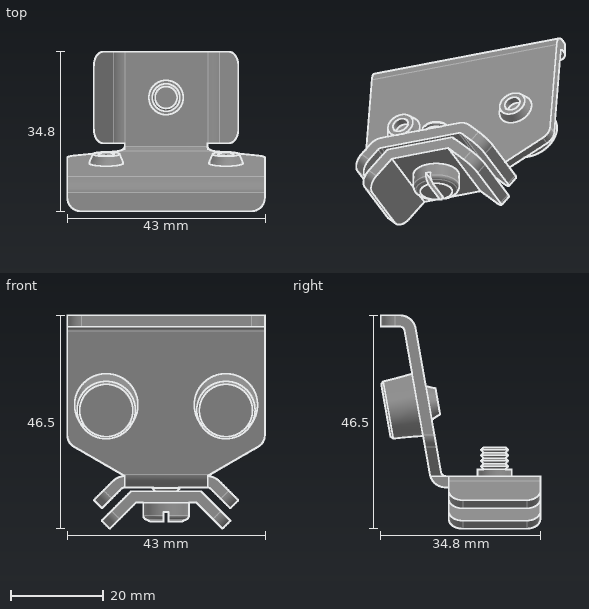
import cadquery as cq
import math

sheet = 2.5
bend_inner = 1.0
bend_outer = bend_inner + sheet
corner_radius = 3.0
wing_angle = 45.0
saddle_length = 20.0

overall_height = 46.45
bracket_width = 43.0
bracket_top = 35.0
saddle_half_width = 9.0
bracket_wing_drop = 5.25
lean_angle = 10.0
bend_corner_y = -11.48
flange_end_y = -24.75
shoulder_angle = 30.0
collar_diameter = 7.5
collar_height = 1.45

clamp_gap = 0.75
clamp_half_width = 7.55
clamp_top = -sheet - clamp_gap
clamp_underside = clamp_top - sheet

thread_diameter = 6.0
thread_root = 4.8
thread_turns = 10
neck_length = 0.1
screw_tip_z = 6.25
head_diameter = 10.0
head_height = 4.15
head_rounding = 0.95
head_face_diameter = 6.95
head_cone_height = 0.75
slot_width = 1.0
slot_depth = 2.05

buffer_spacing = 26.0
buffer_z = 15.45
buffer_base_diameter = 13.8
buffer_tip_diameter = 12.7
buffer_height = 7.0
buffer_chamfer = 0.55
plug_diameter = 7.5
plug_tip_diameter = 5.8
plug_height = 2.0
plug_hole_diameter = 3.5
plug_hole_depth = 2.0

lean = math.radians(lean_angle)
lean_tan = math.tan(lean)
wing = math.radians(wing_angle)


def rounded_outline(plane, corners):
    """Closed outline through (u, v, radius) corners; a zero radius keeps a corner sharp."""
    points = [cq.Vector(u, v) for u, v, _ in corners]
    outline = cq.Workplane(plane)
    for i, (_, _, radius) in enumerate(corners):
        corner = points[i]
        back = (points[i - 1] - corner).normalized()
        ahead = (points[(i + 1) % len(points)] - corner).normalized()
        half_angle = back.getAngle(ahead) / 2
        reach = radius / math.tan(half_angle)
        start = (corner + back * reach).toTuple()[:2]
        outline = outline.moveTo(*start) if i == 0 else outline.lineTo(*start)
        if radius > 0:
            middle = corner + (back + ahead).normalized() * (radius / math.sin(half_angle) - radius)
            end = corner + ahead * reach
            outline = outline.threePointArc(middle.toTuple()[:2], end.toTuple()[:2])
    return outline.close()


def winged_plate(top_z, corner_x, wing_drop, inner_radius, outer_radius):
    """Flat plate along Y whose two sides bend down; corner_x is the sharp top corner."""
    under_x = corner_x - sheet * math.tan(wing / 2)
    tip_x = corner_x + wing_drop / math.tan(wing)
    tip_z = top_z - wing_drop
    under_tip_x = tip_x - sheet * math.sin(wing)
    under_tip_z = tip_z - sheet * math.cos(wing)
    right_half = [
        (corner_x, top_z, outer_radius),
        (tip_x, tip_z, 0),
        (under_tip_x, under_tip_z, 0),
        (under_x, top_z - sheet, inner_radius),
    ]
    left_half = [(-x, z, radius) for x, z, radius in reversed(right_half)]
    plate = rounded_outline("XZ", right_half + left_half).extrude(saddle_length / 2, both=True)
    for side in (1, -1):
        along = cq.Vector(side * math.cos(wing), 0, -math.sin(wing))
        across = cq.Vector(side * math.sin(wing), 0, math.cos(wing))
        tip_face = plate.faces(cq.DirectionMinMaxSelector(along))
        plate = tip_face.edges(cq.ParallelDirSelector(across)).fillet(corner_radius)
    return plate


def screw_bore():
    return cq.Workplane("XY").circle(thread_diameter / 2).extrude(overall_height, both=True)


def buffer_plane(x):
    """Local Y runs along the buffer axis, outward from the centre of its base."""
    base_y = bend_corner_y - sheet / math.cos(lean) - buffer_z * lean_tan
    return cq.Plane(
        origin=(x, base_y, buffer_z),
        xDir=(1, 0, 0),
        normal=(0, math.sin(lean), -math.cos(lean)),
    )


def make_upright():
    """Saddle tongue, leaning plate and top flange as one bent strip, cut to its front outline."""
    face_shift = sheet / math.cos(lean)
    inside_shift = sheet * math.tan((math.pi / 2 - lean) / 2)
    top_corner_y = bend_corner_y - bracket_top * lean_tan
    strip = rounded_outline("YZ", [
        (saddle_length / 2, 0, 0),
        (bend_corner_y, 0, bend_inner),
        (top_corner_y, bracket_top, bend_outer),
        (flange_end_y, bracket_top, 0),
        (flange_end_y, bracket_top - sheet, 0),
        (top_corner_y - inside_shift, bracket_top - sheet, bend_inner),
        (bend_corner_y - inside_shift, -sheet, bend_outer),
        (saddle_length / 2, -sheet, 0),
    ]).extrude(bracket_width / 2, both=True)
    strip = strip.faces("<Y").edges("|Z").fillet(corner_radius)

    half_width = bracket_width / 2
    shoulder_z = (half_width - saddle_half_width) * math.tan(math.radians(shoulder_angle))
    right_half = [
        (saddle_half_width, -sheet, 0),
        (saddle_half_width, 0, 0),
        (half_width, shoulder_z, corner_radius),
        (half_width, bracket_top, 0),
    ]
    left_half = [(-x, z, radius) for x, z, radius in reversed(right_half)]
    front = rounded_outline("XZ", right_half + left_half).extrude(overall_height, both=True)
    return strip.intersect(front)


def make_bracket(buffers):
    corner_x = saddle_half_width + bend_outer * math.tan(wing / 2)
    saddle = winged_plate(0, corner_x, bracket_wing_drop, bend_inner, bend_outer)
    collar = cq.Workplane("XY").circle(collar_diameter / 2).extrude(collar_height)
    bracket = make_upright().union(saddle).union(collar).cut(screw_bore())
    for rubber in buffers:
        bracket = bracket.cut(rubber)
    return bracket


def make_clamp_plate():
    lowest_z = bracket_top - overall_height
    wing_drop = clamp_top - lowest_z - sheet * math.cos(wing)
    return winged_plate(clamp_top, clamp_half_width, wing_drop, 0, 0).cut(screw_bore())


def make_shank():
    """Shank of plain V-shaped thread rings on a neck at root diameter."""
    thread_start = clamp_underside + neck_length
    pitch = (screw_tip_z - thread_start) / thread_turns
    profile = (
        cq.Workplane("XZ")
        .moveTo(0, clamp_underside)
        .lineTo(thread_root / 2, clamp_underside)
        .lineTo(thread_root / 2, thread_start)
    )
    for turn in range(thread_turns):
        ring_z = thread_start + turn * pitch
        profile = profile.lineTo(thread_diameter / 2, ring_z + pitch / 2)
        profile = profile.lineTo(thread_root / 2, ring_z + pitch)
    return profile.lineTo(0, screw_tip_z).close().revolve(360, (0, 0), (0, 1))


def make_head():
    """Slotted cylinder head with a rounded rim that runs into a shallow cone."""
    head_end = clamp_underside - head_height
    head = rounded_outline("XZ", [
        (0, clamp_underside, 0),
        (head_diameter / 2, clamp_underside, 0),
        (head_diameter / 2, head_end + head_cone_height, head_rounding),
        (head_face_diameter / 2, head_end, 0),
        (0, head_end, 0),
    ]).revolve(360, (0, 0), (0, 1))
    slot = cq.Workplane("XY", origin=(0, 0, head_end)).rect(slot_width, 2 * head_diameter).extrude(slot_depth)
    return head.cut(slot)


def make_screw():
    return make_head().union(make_shank())


def make_buffer(x):
    """Tapered buffer whose plug passes through the upright and ends in a cone with a blind hole."""
    plug_end = -sheet - plug_height
    return (
        cq.Workplane(buffer_plane(x))
        .moveTo(0, buffer_height)
        .lineTo(buffer_tip_diameter / 2 - buffer_chamfer, buffer_height)
        .lineTo(buffer_tip_diameter / 2, buffer_height - buffer_chamfer)
        .lineTo(buffer_base_diameter / 2, 0)
        .lineTo(plug_diameter / 2, 0)
        .lineTo(plug_diameter / 2, -sheet)
        .lineTo(plug_tip_diameter / 2, plug_end)
        .lineTo(plug_hole_diameter / 2, plug_end)
        .lineTo(plug_hole_diameter / 2, plug_end + plug_hole_depth)
        .lineTo(0, plug_end + plug_hole_depth)
        .close()
        .revolve(360, (0, 0), (0, 1))
    )


buffers = [make_buffer(side * buffer_spacing / 2) for side in (-1, 1)]
bracket = make_bracket(buffers)
clamp_plate = make_clamp_plate()
screw = make_screw()

result = cq.Compound.makeCompound([
    bracket.val(),
    clamp_plate.val(),
    screw.val(),
    *[rubber.val() for rubber in buffers],
])